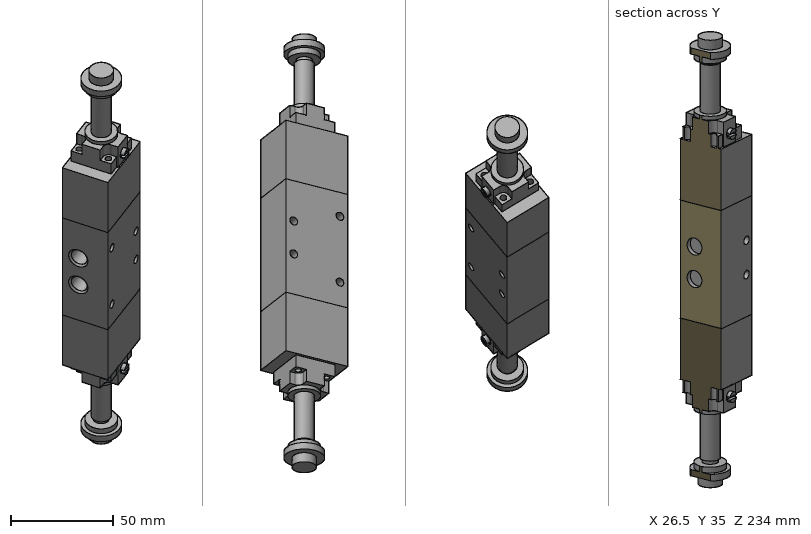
import cadquery as cq

body_x = 25.0
body_y = 35.0
block_height = 62.0
end_cap_height = 32.0

port_diameter = 8.6
port_mouth_diameter = 10.6
port_depth = 12.0
port_x = -3.75
port_spacing = 17.0

mount_diameter = 4.25
mount_y = 13.0
upper_row_spacing = 18.0
lower_row_spacing = 36.0

foot_width = 22.0
foot_height = 13.0
recess_depth = 6.5
recess_radius = 3.0
screw_hole_diameter = 3.2
screw_offset = 8.0

plate_width = 10.0
plate_thickness = 0.75
override_diameter = 5.4
override_reach = 14.0
override_height = 5.8
slot_width = 1.5
slot_depth = 2.0

collar_diameter, collar_length = 16.0, 2.0
tube_diameter, tube_length = 10.0, 25.5
neck_diameter, neck_length = 8.0, 2.0
washer_diameter, washer_length = 16.0, 3.0
nut_diameter, nut_length = 20.0, 3.5
tip_diameter, tip_length = 12.0, 5.0

stem_steps = [
    (collar_diameter, collar_length),
    (tube_diameter, tube_length),
    (neck_diameter, neck_length),
    (washer_diameter, washer_length),
    (nut_diameter, nut_length),
    (tip_diameter, tip_length),
]

foot_base_z = block_height / 2 + end_cap_height
foot_top_z = foot_base_z + foot_height


def box_on(base_z, size_x, size_y, height):
    """Box centred on the Z axis, standing on the level base_z."""
    return cq.Workplane("XY").workplane(offset=base_z).rect(size_x, size_y).extrude(height)


def make_port_cutter(z):
    """Blind port with a 45 degree countersunk mouth, running in from the -Y face."""
    radius = port_diameter / 2
    mouth_radius = port_mouth_diameter / 2
    countersink = mouth_radius - radius
    profile = [
        (0, 0),
        (mouth_radius, 0),
        (radius, countersink),
        (radius, port_depth),
        (0, port_depth),
    ]
    cutter = cq.Workplane("XY").polyline(profile).close().revolve(360, (0, 0), (0, 1))
    return cutter.translate((port_x, -body_y / 2, z))


def make_valve_block():
    block = box_on(-block_height / 2, body_x, body_y, block_height)
    for z in (-port_spacing / 2, port_spacing / 2):
        block = block.cut(make_port_cutter(z))
    for y, spacing in ((mount_y, upper_row_spacing), (-mount_y, lower_row_spacing)):
        holes = (
            cq.Workplane("YZ")
            .pushPoints([(y, -spacing / 2), (y, spacing / 2)])
            .circle(mount_diameter / 2)
            .extrude(body_x, both=True)
        )
        block = block.cut(holes)
    return block


def cut_corner_screws(foot):
    """Cut a round-cornered recess and a screw hole into each corner of the foot."""
    recess_size = 4 * recess_radius
    recess_inner_edge = screw_offset - recess_radius
    recess_center = recess_inner_edge + recess_size / 2
    recess_floor_z = foot_top_z - recess_depth
    for side_x in (-1, 1):
        for side_y in (-1, 1):
            recess = (
                box_on(recess_floor_z, recess_size, recess_size, recess_depth)
                .edges("|Z")
                .fillet(recess_radius)
                .translate((side_x * recess_center, side_y * recess_center, 0))
            )
            hole = (
                cq.Workplane("XY")
                .workplane(offset=foot_base_z)
                .center(side_x * screw_offset, side_y * screw_offset)
                .circle(screw_hole_diameter / 2)
                .extrude(foot_height)
            )
            foot = foot.cut(recess).cut(hole)
    return foot


def make_override():
    """Plate on the foot side carrying a round slotted override screw."""
    plate_start_x = foot_width / 2
    plate_face_x = plate_start_x + plate_thickness
    screw_length = override_reach - plate_face_x
    screw_z = foot_base_z + override_height
    plate = box_on(foot_base_z, plate_thickness, plate_width, foot_height)
    plate = plate.translate((plate_start_x + plate_thickness / 2, 0, 0))
    screw = (
        cq.Workplane("YZ", origin=(plate_face_x, 0, screw_z))
        .circle(override_diameter / 2)
        .extrude(screw_length)
    )
    slot = (
        cq.Workplane("YZ", origin=(override_reach, 0, screw_z))
        .rect(override_diameter, slot_width)
        .extrude(-slot_depth)
    )
    return plate.union(screw.cut(slot))


def make_stem():
    stem = cq.Workplane("XY")
    base_z = foot_top_z
    for diameter, length in stem_steps:
        step = cq.Workplane("XY").workplane(offset=base_z).circle(diameter / 2).extrude(length)
        stem = stem.union(step)
        base_z += length
    return stem


def make_end_unit():
    """End cap with its solenoid operator, for the +Z end."""
    cap = box_on(block_height / 2, body_x, body_y, end_cap_height)
    foot = cut_corner_screws(box_on(foot_base_z, foot_width, foot_width, foot_height))
    return cap.union(foot).union(make_override()).union(make_stem())


valve_block = make_valve_block()
upper_end_unit = make_end_unit()
end_units = [upper_end_unit, upper_end_unit.mirror("XY")]

result = cq.Compound.makeCompound([valve_block.val()] + [unit.val() for unit in end_units])